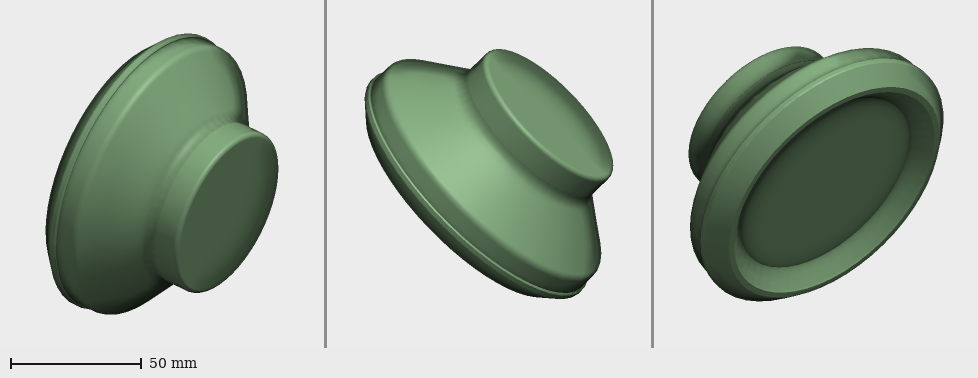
import cadquery as cq
import math


ring_radius = 113.9 / 2
bevel = 7.0
rim_round = 0.9
rim_end = 9.5
rim_chamfer = 0.5
spigot_radius = 110.0 / 2
spigot_end = 10.7
dish_rim_radius = 47.6
dish_rim_chamfer = 0.5
dish_floor_radius = 40.2
dish_depth = 6.3

key_inner_y = -39.9
key_outer_y = -57.0
key_top = 5.9
key_inner_bottom = 1.5
key_outer_bottom = -0.8
key_slope = 0.36

shell_radius = 112.0 / 2
shell_straight_end = 16.0
shoulder_round = 3.5
cone_angle = math.radians(50)
neck_root_radius = 66.6 / 2
neck_root_round = 5.1
neck_root_end = 38.9
neck_step = 39.6
neck_radius = 67.0 / 2
neck_edge_round = 1.8
overall_length = 50.0


def revolve_about_x(profile):
    return profile.close().revolve(360, (0, 0, 0), (1, 0, 0))


def arc_point(center, radius, angle):
    """Point on an arc; the angle turns from the outward radial direction towards +X."""
    return (center[0] + radius * math.sin(angle), center[1] + radius * math.cos(angle))


def make_full_ring():
    """Bevelled ring with a dished opening, and a spigot behind its rim, before the key gap."""
    rim_center = (bevel + rim_round * math.tan(math.pi / 8), ring_radius - rim_round)
    profile = (
        cq.Workplane("XY")
        .moveTo(0, dish_rim_radius)
        .lineTo(0, ring_radius - bevel)
        .lineTo(*arc_point(rim_center, rim_round, -math.pi / 4))
        .threePointArc(
            arc_point(rim_center, rim_round, -math.pi / 8),
            (rim_center[0], ring_radius),
        )
        .lineTo(rim_end - rim_chamfer, ring_radius)
        .lineTo(rim_end, ring_radius - rim_chamfer)
        .lineTo(rim_end, spigot_radius)
        .lineTo(spigot_end, spigot_radius)
        .lineTo(spigot_end, dish_floor_radius)
        .lineTo(dish_depth, dish_floor_radius)
        .lineTo(dish_rim_chamfer, dish_rim_radius - dish_rim_chamfer)
    )
    return revolve_about_x(profile)


def key_section(y, bottom):
    """Slanted outline of the key gap at one distance from the axis."""
    drop = key_slope * spigot_end
    corners = [
        (0, bottom),
        (0, key_top),
        (spigot_end, key_top - drop),
        (spigot_end, bottom - drop),
    ]
    return cq.Wire.makePolygon([cq.Vector(x, y, z) for x, z in corners], close=True)


def make_key_gap():
    """Tapered block that marks out the key within the ring."""
    inner = key_section(key_inner_y, key_inner_bottom)
    outer = key_section(key_outer_y, key_outer_bottom)
    return cq.Workplane("XY").add(cq.Solid.makeLoft([inner, outer], True))


def make_ring():
    """Full ring with the key gap cut through it."""
    return make_full_ring().cut(make_key_gap())


def make_housing():
    """Conical housing with a neck, a socket for the ring, the dish floor and the key."""
    shoulder_center = (shell_straight_end, shell_radius - shoulder_round)
    root_center = (neck_root_end, neck_root_radius + neck_root_round)
    neck_edge_center = (overall_length - neck_edge_round, neck_radius - neck_edge_round)
    profile = (
        cq.Workplane("XY")
        .moveTo(dish_depth, 0)
        .lineTo(dish_depth, dish_floor_radius)
        .lineTo(spigot_end, dish_floor_radius)
        .lineTo(spigot_end, spigot_radius)
        .lineTo(rim_end, spigot_radius)
        .lineTo(rim_end, shell_radius)
        .lineTo(shell_straight_end, shell_radius)
        .threePointArc(
            arc_point(shoulder_center, shoulder_round, cone_angle / 2),
            arc_point(shoulder_center, shoulder_round, cone_angle),
        )
        .lineTo(*arc_point(root_center, neck_root_round, math.pi + cone_angle))
        .threePointArc(
            arc_point(root_center, neck_root_round, math.pi + cone_angle / 2),
            (neck_root_end, neck_root_radius),
        )
        .lineTo(neck_step, neck_root_radius)
        .lineTo(neck_step, neck_radius)
        .lineTo(overall_length - neck_edge_round, neck_radius)
        .threePointArc(
            arc_point(neck_edge_center, neck_edge_round, math.pi / 4),
            (overall_length, neck_radius - neck_edge_round),
        )
        .lineTo(overall_length, 0)
    )
    key = make_full_ring().intersect(make_key_gap())
    return revolve_about_x(profile).union(key)


ring = make_ring()
housing = make_housing()
result = cq.Compound.makeCompound([ring.val(), housing.val()])